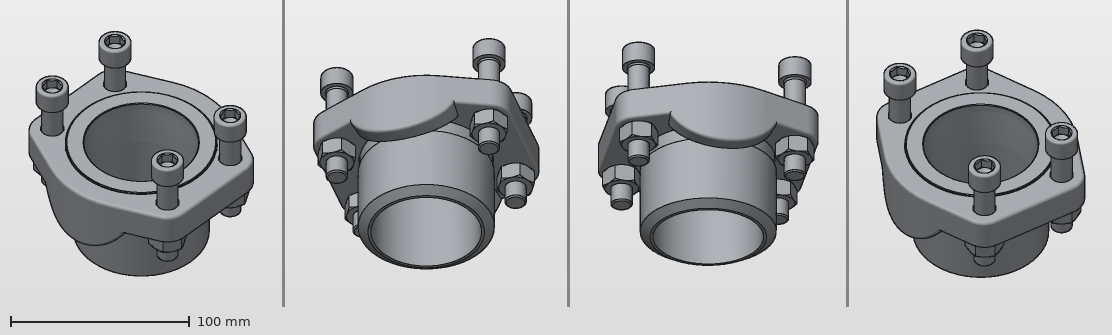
import cadquery as cq
import math

bolt_spacing_x = 88.9
bolt_spacing_y = 50.8
bolt_x = bolt_spacing_x / 2
bolt_y = bolt_spacing_y / 2
bolt_centres = [(sx * bolt_x, sy * bolt_y) for sx in (-1, 1) for sy in (-1, 1)]

flange_half_length = 57.5
flange_end_radius = 54.5
corner_radius = flange_half_length - bolt_x
flange_bottom = 50.4
flange_top = 69.5
top_edge_fillet = 2.0
lower_edge_fillet = 1.6
outline_tolerance = 0.1
bolt_hole_diameter = 13.0
flange_bore_diameter = 75.0
recess_diameter = 85.0
recess_depth = 9.2

skirt_axis_z = 66.8
skirt_bottom = 31.6
skirt_outer_radius = skirt_axis_z - skirt_bottom
skirt_inner_radius = 34.3
skirt_pocket_radius = 44.3

hub_top = 70.2
hub_pipe_diameter = 76.1
hub_neck_diameter = 74.0
hub_head_diameter = 84.1
hub_pipe_top = 42.0
hub_bore_diameter = 61.9
hub_mouth_diameter = 64.0
hub_mouth_depth = 4.8
hub_edge_chamfer = 0.5
weld_bevel_height = 3.6
weld_bevel_width = 5.5

screw_top = 101.5
screw_diameter = 12.0
screw_length = 60.0
screw_tip_diameter = 10.4
screw_tip_height = 0.8
head_diameter = 18.0
head_height = screw_diameter
head_fillet = 1.2
neck_diameter = 13.0
neck_height = 1.2
socket_width = 10.0
socket_mouth_diameter = 11.7
socket_depth = 6.0
socket_angle = 45.0
cone_depth = 2.9

nut_width = 19.0
nut_height = 10.0
nut_chamfer_angle = 30.0

corner_factor = 1 / math.cos(math.radians(30))


def flange_outline():
    """Closed outline: two large end arcs joined to four corner arcs by tangent lines."""
    tangent_angle = math.atan2(bolt_y, bolt_x) + math.acos(
        (flange_end_radius - corner_radius) / math.hypot(bolt_x, bolt_y)
    )
    normal_x = math.cos(tangent_angle)
    normal_y = math.sin(tangent_angle)
    mid_angle = tangent_angle / 2
    end_x = flange_end_radius * normal_x
    end_y = flange_end_radius * normal_y
    corner_x = bolt_x + corner_radius * normal_x
    corner_y = bolt_y + corner_radius * normal_y
    mid_x = bolt_x + corner_radius * math.cos(mid_angle)
    mid_y = bolt_y + corner_radius * math.sin(mid_angle)
    return (
        cq.Workplane("XY")
        .moveTo(flange_half_length, -bolt_y)
        .lineTo(flange_half_length, bolt_y)
        .threePointArc((mid_x, mid_y), (corner_x, corner_y))
        .lineTo(end_x, end_y)
        .threePointArc((0, flange_end_radius), (-end_x, end_y))
        .lineTo(-corner_x, corner_y)
        .threePointArc((-mid_x, mid_y), (-flange_half_length, bolt_y))
        .lineTo(-flange_half_length, -bolt_y)
        .threePointArc((-mid_x, -mid_y), (-corner_x, -corner_y))
        .lineTo(-end_x, -end_y)
        .threePointArc((0, -flange_end_radius), (end_x, -end_y))
        .lineTo(corner_x, -corner_y)
        .threePointArc((mid_x, -mid_y), (flange_half_length, -bolt_y))
        .close()
    )


def cylinder(diameter, bottom, top):
    return cq.Workplane("XY").workplane(offset=bottom).circle(diameter / 2).extrude(top - bottom)


def make_skirt_cone(side):
    """Cone along Y, widest at the flange end on the given side (+1 or -1)."""
    slope = (skirt_outer_radius - skirt_inner_radius) / (flange_end_radius - skirt_pocket_radius)
    centre_radius = skirt_outer_radius - slope * flange_end_radius
    return cq.Workplane(
        cq.Solid.makeCone(
            centre_radius,
            skirt_outer_radius,
            flange_end_radius,
            cq.Vector(0, 0, skirt_axis_z),
            cq.Vector(0, side, 0),
        )
    )


def on_lower_outline(edge):
    """True when an edge lies on the outer wall of the flange, below its top face."""
    points = edge.positions([0, 0.5, 1])
    on_wall = all(math.hypot(p.x, p.y) > flange_end_radius - outline_tolerance for p in points)
    return on_wall and max(p.z for p in points) < flange_bottom + outline_tolerance


def make_flange():
    body = flange_outline().extrude(flange_top - flange_bottom).translate((0, 0, flange_bottom))
    column = flange_outline().extrude(flange_top)
    for side in (-1, 1):
        body = body.union(column.intersect(make_skirt_cone(side)))
    body = body.faces(">Z").edges().fillet(top_edge_fillet)
    body = body.edges("not |Z").filter(on_lower_outline).fillet(lower_edge_fillet)

    body = body.cut(cylinder(2 * skirt_pocket_radius, 0, flange_bottom))
    body = body.cut(cylinder(flange_bore_diameter, flange_bottom, flange_top))
    body = body.cut(cylinder(recess_diameter, flange_top - recess_depth, flange_top))
    for x, y in bolt_centres:
        body = body.cut(cylinder(bolt_hole_diameter, 0, flange_top).translate((x, y, 0)))
    return body


def make_hub():
    """Ring profile turned about Z: bevelled pipe end, neck and head, with a tapered bore."""
    bore = hub_bore_diameter / 2
    mouth = hub_mouth_diameter / 2
    pipe = hub_pipe_diameter / 2
    neck = hub_neck_diameter / 2
    head = hub_head_diameter / 2
    head_bottom = flange_top - recess_depth
    profile = [
        (bore, 0),
        (pipe - weld_bevel_width, 0),
        (pipe, weld_bevel_height),
        (pipe, hub_pipe_top),
        (neck, hub_pipe_top),
        (neck, head_bottom),
        (head, head_bottom),
        (head, hub_top - hub_edge_chamfer),
        (head - hub_edge_chamfer, hub_top),
        (mouth + hub_edge_chamfer, hub_top),
        (mouth, hub_top - hub_edge_chamfer),
        (mouth, hub_top - hub_mouth_depth),
        (bore, hub_pipe_top),
    ]
    return cq.Workplane("XZ").polyline(profile).close().revolve(360, (0, 0), (0, 1))


def make_screw():
    """Socket head screw on the Z axis, with a hexagon socket that ends in a drill point."""
    head_bottom = screw_top - head_height
    tip = head_bottom - screw_length
    shank = screw_diameter / 2
    profile = [
        (0, tip),
        (screw_tip_diameter / 2, tip),
        (shank, tip + screw_tip_height),
        (shank, head_bottom - neck_height),
        (neck_diameter / 2, head_bottom),
        (head_diameter / 2, head_bottom),
        (head_diameter / 2, screw_top),
        (0, screw_top),
    ]
    screw = cq.Workplane("XZ").polyline(profile).close().revolve(360, (0, 0), (0, 1))
    screw = screw.faces(">Z").edges().fillet(head_fillet)

    socket_bottom = screw_top - socket_depth
    socket = (
        cq.Workplane("XY")
        .workplane(offset=socket_bottom)
        .transformed(rotate=(0, 0, socket_angle))
        .polygon(6, socket_width * corner_factor)
        .extrude(socket_depth)
    )
    mouth_radius = socket_mouth_diameter / 2
    flat_radius = socket_width / 2
    mouth_depth = mouth_radius - flat_radius
    mouth_base = cq.Vector(0, 0, screw_top - mouth_depth)
    mouth = cq.Workplane(cq.Solid.makeCone(flat_radius, mouth_radius, mouth_depth, mouth_base))
    point_base = cq.Vector(0, 0, socket_bottom - cone_depth)
    drill_point = cq.Workplane(cq.Solid.makeCone(0, flat_radius, cone_depth, point_base))
    return screw.cut(socket).cut(mouth).cut(drill_point)


def make_nut():
    """Hexagon with corners on X, both ends chamfered to the flat-to-flat circle."""
    flat_radius = nut_width / 2
    tip_radius = flat_radius * corner_factor
    drop = (tip_radius - flat_radius) * math.tan(math.radians(nut_chamfer_angle))
    bore_radius = screw_diameter / 2
    top = flange_bottom
    bottom = top - nut_height
    hexagon = cq.Workplane("XY").workplane(offset=bottom).polygon(6, 2 * tip_radius).extrude(nut_height)
    profile = [
        (bore_radius, bottom),
        (flat_radius, bottom),
        (tip_radius, bottom + drop),
        (tip_radius, top - drop),
        (flat_radius, top),
        (bore_radius, top),
    ]
    envelope = cq.Workplane("XZ").polyline(profile).close().revolve(360, (0, 0), (0, 1))
    return hexagon.intersect(envelope)


flange = make_flange()
hub = make_hub()
screws = [make_screw().translate((x, y, 0)).val() for x, y in bolt_centres]
nuts = [make_nut().translate((x, y, 0)).val() for x, y in bolt_centres]

result = cq.Compound.makeCompound([flange.val(), hub.val(), *screws, *nuts])